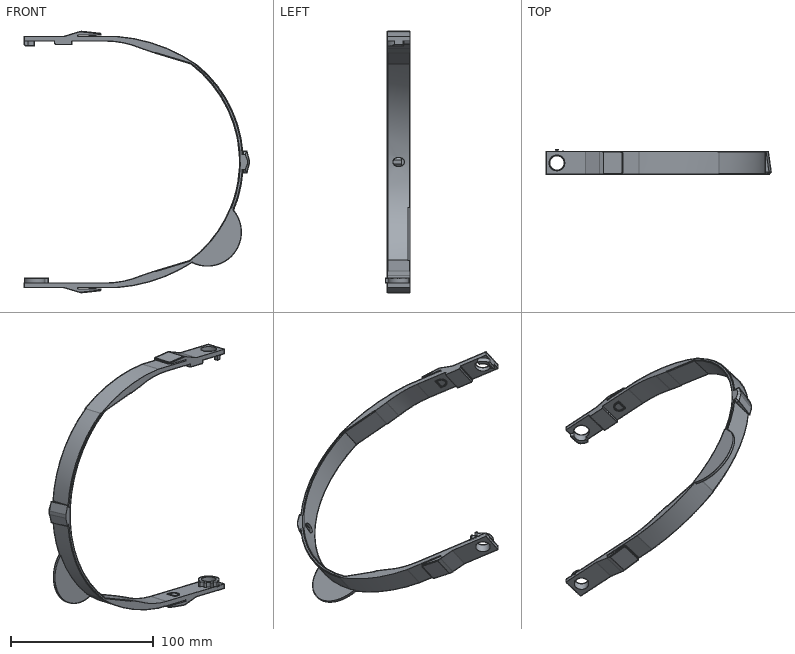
import cadquery as cq
import math


width = 16.1
mid_y = width / 2
arm_outer_z = 88.0
arm_inner_z = 84.7
arm_outer_end_x = 64.9
arm_inner_end_x = 56.8
side_outer_mid = (95.3, 81.4)
shoulder_outer = (121.0, 68.0)
back_outer_x = 153.5
back_inner_x = 150.9
inner_bend_end = (82.0, 79.5)
inner_flat_start = (91.7, 76.3)
shoulder_inner = (116.6, 68.8)
edge_chamfer = 0.5
chamfer_zone_step = 2.8

clip_foot_x = 27.7
clip_rise = (37.4, 91.0)
clip_crest = (40.0, 91.7)
clip_tip_x = 53.7
clip_tip_z = 90.2
clip_slot_x = 37.5
clip_under_z = 89.0
clip_chamfer = 0.5
clip_corner_radius = 1.7

spacer_x = 47.9
spacer_diameter = 4.8
spacer_gap = 0.2

mark_start_x = 38.0
mark_end_x = 44.5
mark_width = 7.7
mark_line = 0.7
mark_depth = 0.7

pivot_x = 7.5
upper_hole_diameter = 11.0
lower_hole_diameter = 10.0
boss_radius = 7.3
boss_top_z = -81.4
lug_reach = 9.4
lug_count = 4
lug_pitch = 30
lug_gap_diameter = 3.1
ring_radius = mid_y
ring_bottom_z = 81.4
ring_start_angle = 94
ring_end_angle = 207
ring_chamfer = 1.0

stop_start_x = 21.0
stop_end_x = 33.4
stop_bottom_z = 82.3
stop_chamfer_x = 0.7
stop_chamfer_z = 1.1

plate_x = 128.3
plate_z = -49.1
plate_radius = 23.8
plate_thickness = 1.7
plate_inner_lip = 0.2

knob_root_x = 152.2
knob_shoulder_x = 153.6
knob_nose_length = 1.7
knob_tip_half_height = 1.3
knob_front_tip_x = 156.4
knob_tip_x = 157.7
knob_front_half_height = 5.3
knob_half_height = 7.7
knob_front_bevel = 1.8
knob_taper = 2.0
dimple_width = 8.0
dimple_height = 6.5
dimple_depth = 2.2
dimple_bump_end_y = 6.0
dimple_bump_half_flat = 1.38
dimple_bump_recess = 0.5


def mirrored(point):
    return (point[0], -point[1])


def extrude_y(sketch, start_y, end_y):
    """Extrude an XZ sketch between two Y positions."""
    return sketch.extrude(start_y - end_y).translate((0, start_y, 0))


def box_between(low, high):
    size = [b - a for a, b in zip(low, high)]
    return cq.Workplane("XY").box(*size, centered=False).translate(low)


def vertical_cylinder(x, y, radius, low_z, high_z):
    return cq.Workplane("XY", origin=(x, y, low_z)).circle(radius).extrude(high_z - low_z)


def arc_center_x(shoulder, back_x):
    """X of the centre, on Z = 0, of the arc from a shoulder point to the back."""
    x, z = shoulder
    return (back_x**2 - x**2 - z**2) / (2 * (back_x - x))


def make_chamfer_zone():
    """Region around the back of the band in which its long edges are chamfered."""
    flat_x, flat_z = inner_flat_start
    upper_border = [
        inner_flat_start,
        (flat_x, flat_z + chamfer_zone_step),
        ((shoulder_inner[0] + shoulder_outer[0]) / 2, (shoulder_inner[1] + shoulder_outer[1]) / 2),
        shoulder_outer,
        (back_outer_x, shoulder_outer[1]),
    ]
    lower_border = [mirrored(point) for point in reversed(upper_border)]
    return extrude_y(cq.Workplane("XZ").polyline(upper_border + lower_border).close(), 0, width)


def make_band():
    bend_inner = (arm_inner_end_x, arm_inner_z)
    bend_run = inner_bend_end[0] - arm_inner_end_x
    bend_drop = arm_inner_z - inner_bend_end[1]
    bend_radius = (bend_run**2 + bend_drop**2) / (2 * bend_drop)
    half_turn = math.atan2(bend_drop, bend_run)
    bend_inner_mid = (
        arm_inner_end_x + bend_radius * math.sin(half_turn),
        arm_inner_z - bend_radius * (1 - math.cos(half_turn)),
    )
    bend_outer = (arm_outer_end_x, arm_outer_z)
    outline = (
        cq.Workplane("XZ")
        .moveTo(0, arm_inner_z)
        .lineTo(0, arm_outer_z)
        .lineTo(*bend_outer)
        .threePointArc(side_outer_mid, shoulder_outer)
        .threePointArc((back_outer_x, 0), mirrored(shoulder_outer))
        .threePointArc(mirrored(side_outer_mid), mirrored(bend_outer))
        .lineTo(0, -arm_outer_z)
        .lineTo(0, -arm_inner_z)
        .lineTo(*mirrored(bend_inner))
        .threePointArc(mirrored(bend_inner_mid), mirrored(inner_bend_end))
        .lineTo(*mirrored(inner_flat_start))
        .lineTo(*mirrored(shoulder_inner))
        .threePointArc((back_inner_x, 0), shoulder_inner)
        .lineTo(*inner_flat_start)
        .lineTo(*inner_bend_end)
        .threePointArc(bend_inner_mid, bend_inner)
        .close()
    )
    band = extrude_y(outline, 0, width)
    chamfered_band = band.faces("<Y or >Y").edges().chamfer(edge_chamfer)
    zone = make_chamfer_zone()
    return band.cut(zone).union(chamfered_band.intersect(zone))


def d_block(margin):
    """D-shaped block, round towards the open end, shrunk by a margin on all sides."""
    half = mark_width / 2 - margin
    start = mark_start_x + margin
    end = mark_end_x - margin
    shoulder = start + half
    outline = (
        cq.Workplane("XY", origin=(0, 0, arm_inner_z))
        .moveTo(end, mid_y - half)
        .lineTo(end, mid_y + half)
        .lineTo(shoulder, mid_y + half)
        .threePointArc((start, mid_y), (shoulder, mid_y - half))
        .close()
    )
    return outline.extrude(mark_depth)


def add_upper_clip(body):
    blade_outline = (
        cq.Workplane("XZ")
        .moveTo(clip_foot_x, arm_outer_z)
        .lineTo(*clip_rise)
        .lineTo(*clip_crest)
        .lineTo(clip_tip_x, clip_tip_z)
        .lineTo(clip_tip_x, clip_under_z)
        .lineTo(clip_slot_x, clip_under_z)
        .lineTo(clip_slot_x, arm_outer_z)
        .close()
    )
    blade = extrude_y(blade_outline, 0, width)
    blade = blade.faces(">X").edges("|Z").fillet(clip_corner_radius)
    top_middle = ((clip_crest[0] + clip_tip_x) / 2, mid_y, (clip_crest[1] + clip_tip_z) / 2)
    top_face = blade.faces(cq.NearestToPointSelector(top_middle))
    blade = top_face.edges("not <X").chamfer(clip_chamfer)
    spacer = vertical_cylinder(
        spacer_x, mid_y, spacer_diameter / 2, arm_outer_z + spacer_gap, clip_under_z + spacer_gap
    )
    groove = d_block(0).cut(d_block(mark_line))
    return body.union(blade).union(spacer).cut(groove)


def add_clips(body):
    """Clip on the upper arm, then the same clip mirrored onto the lower arm."""
    body = add_upper_clip(body)
    return add_upper_clip(body.mirror("XY")).mirror("XY")


def pivot_sector(start_angle, end_angle, low_z, high_z):
    """Wedge around the pivot axis that reaches beyond the rings and lugs."""
    reach = 3 * lug_reach
    angles = [start_angle, (start_angle + end_angle) / 2, end_angle]
    corners = [
        (
            pivot_x + reach * math.cos(math.radians(angle)),
            mid_y + reach * math.sin(math.radians(angle)),
        )
        for angle in angles
    ]
    outline = cq.Workplane("XY", origin=(0, 0, low_z)).polyline([(pivot_x, mid_y)] + corners)
    return outline.close().extrude(high_z - low_z)


def add_upper_pivot(body):
    """Hole through the upper arm with a partial ring below it."""
    ring = vertical_cylinder(pivot_x, mid_y, ring_radius, ring_bottom_z, arm_inner_z)
    sector = pivot_sector(ring_start_angle, ring_end_angle, ring_bottom_z, arm_inner_z)
    end_trim = box_between((0, 0, ring_bottom_z), (2 * pivot_x, width, arm_inner_z))
    end_trim = end_trim.edges("<X and <Z").chamfer(ring_chamfer)
    ring = ring.intersect(sector).intersect(end_trim)
    hole = vertical_cylinder(pivot_x, mid_y, upper_hole_diameter / 2, ring_bottom_z, arm_outer_z)
    return body.union(ring).cut(hole)


def add_lower_pivot(body):
    """Hollow boss with locking lugs on the lower arm."""
    boss = vertical_cylinder(pivot_x, mid_y, boss_radius, -arm_inner_z, boss_top_z)
    first_gap = -lug_pitch / 2
    last_gap = first_gap + lug_count * lug_pitch
    lugs = vertical_cylinder(pivot_x, mid_y, lug_reach, -arm_inner_z, boss_top_z)
    lugs = lugs.intersect(pivot_sector(first_gap, last_gap, -arm_inner_z, boss_top_z))
    gap_radius = lug_gap_diameter / 2
    gap_distance = boss_radius + gap_radius
    for index in range(lug_count + 1):
        turn = math.radians(first_gap + index * lug_pitch)
        gap_x = pivot_x + gap_distance * math.cos(turn)
        gap_y = mid_y + gap_distance * math.sin(turn)
        lugs = lugs.cut(vertical_cylinder(gap_x, gap_y, gap_radius, -arm_inner_z, boss_top_z))
    boss = boss.union(lugs)
    hole = vertical_cylinder(pivot_x, mid_y, lower_hole_diameter / 2, -arm_outer_z, boss_top_z)
    return body.union(boss).cut(hole)


def add_stop_block(body):
    block = box_between((stop_start_x, 0, stop_bottom_z), (stop_end_x, width, arm_inner_z))
    block = block.faces("<X").edges("<Z").chamfer(stop_chamfer_z, stop_chamfer_x)
    return body.union(block)


def add_side_plate(body):
    """Disc on the front edge, trimmed by the inner side of the band."""
    disc = extrude_y(
        cq.Workplane("XZ").center(plate_x, plate_z).circle(plate_radius), 0, plate_thickness
    )
    center_x = arc_center_x(shoulder_inner, back_inner_x)
    inner_radius = back_inner_x - center_x - plate_inner_lip
    opening = extrude_y(
        cq.Workplane("XZ").center(center_x, 0).circle(inner_radius), 0, plate_thickness
    )
    return body.union(disc.cut(opening))


def knob_section(y, half_height, tip_x):
    """Corner points of the knob at one Y: a blunt, symmetric nose pointing to +X."""
    side_x = tip_x - knob_nose_length
    return [
        cq.Vector(x, y, z)
        for x, z in [
            (knob_root_x, -knob_front_half_height),
            (knob_shoulder_x, -half_height),
            (side_x, -half_height),
            (tip_x, -knob_tip_half_height),
            (tip_x, knob_tip_half_height),
            (side_x, half_height),
            (knob_shoulder_x, half_height),
            (knob_root_x, knob_front_half_height),
        ]
    ]


def add_knob(body):
    front = knob_section(0, knob_front_half_height, knob_front_tip_x)
    full = knob_section(knob_front_bevel, knob_half_height, knob_tip_x)
    rear = knob_section(width, knob_half_height, knob_tip_x - knob_taper)
    for near, far in [(front, full), (full, rear)]:
        wires = [cq.Wire.makePolygon(points, close=True) for points in (near, far)]
        body = body.union(cq.Workplane(obj=cq.Solid.makeLoft(wires, True)))
    return body


def cut_dimple(body):
    """Oval dimple in the inner face at the back, with a roof-shaped bump in it."""
    floor_x = back_inner_x + dimple_depth
    pocket = (
        cq.Workplane("YZ", origin=(back_inner_x - dimple_depth, mid_y, 0))
        .ellipse(dimple_width / 2, dimple_height / 2)
        .extrude(2 * dimple_depth)
    )
    bump_top_x = back_inner_x + dimple_bump_recess
    bump_outline = cq.Workplane("XZ").polyline([
        (floor_x, -dimple_height / 2),
        (bump_top_x, -dimple_bump_half_flat),
        (bump_top_x, dimple_bump_half_flat),
        (floor_x, dimple_height / 2),
    ]).close()
    bump = extrude_y(bump_outline, dimple_bump_end_y, width)
    return body.cut(pocket.cut(bump))


result = make_band()
result = add_clips(result)
result = add_upper_pivot(result)
result = add_lower_pivot(result)
result = add_stop_block(result)
result = add_side_plate(result)
result = add_knob(result)
result = cut_dimple(result)